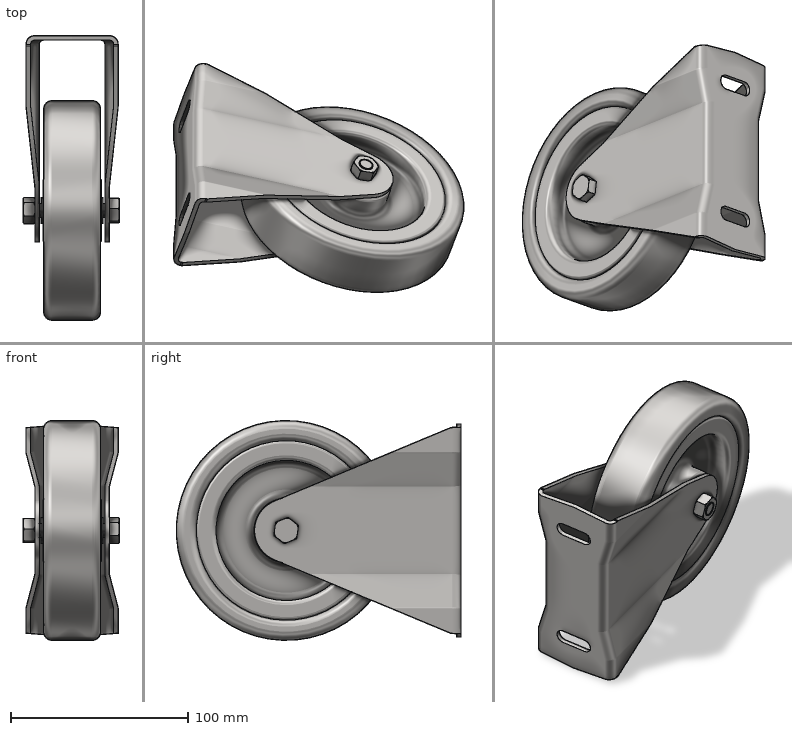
import cadquery as cq
import math


sheet = 2.5
back_y = 98.5
wide_half = 26.0
narrow_half = 21.0
narrow_z = 24.7
wide_z = 43.6
bend_inner = 2.4
bend_outer = bend_inner + sheet
back_peak_z = 60.0
side_z = 57.9
taper_y = back_y - 6.0
lobe_radius = 17.8

slot_length = 22.3
slot_width = 8.3
slot_z = 40.0

wheel_radius = 61.9
tyre_half = 16.0
tread_round = 4.8
tyre_bore_round = 3.8
rim_radius = 50.5

flange_half = 14.9
flange_outer = 48.9
flange_inner = 42.2
rim_wall = 39.5
web_outer = 35.1
web_inner = 23.0
web_half = 3.2
hub_radius = 18.1
hub_half = 16.5
hub_round = 1.6
boss_radius = 7.2
boss_half = 17.5

bolt_radius = 4.0
tip_chamfer = 0.5
hex_across_flats = 13.0
hex_across_corners = hex_across_flats / math.cos(math.pi / 6)
head_height = 5.6
nut_height = 6.5
hex_chamfer = 0.6
head_turn = 22
nut_turn = -6


def fork_profile(inset, top):
    """Waisted XZ outline of the fork, moved inward by a distance and closed at +-top."""
    spread_angle = math.atan2(wide_half - narrow_half, wide_z - narrow_z)
    rise = inset * math.tan(spread_angle / 2)
    wide = wide_half - inset
    upper = [(narrow_half - inset, narrow_z + rise), (wide, wide_z + rise), (wide, top)]
    upper += [(-x, z) for x, z in reversed(upper)]
    lower = [(-x, -z) for x, z in upper]
    return upper + lower


def fork_block(inset, rounded_z, corner_radius):
    """Waisted block with rounded back corners, and side folds rounded at heights of +-rounded_z."""
    back = back_y - inset
    top = wide_half + side_z
    profile = cq.Workplane("XZ", origin=(0, back, 0)).polyline(fork_profile(inset, top)).close()
    block = profile.extrude(back + 2 * lobe_radius)
    reach = 1.6
    upper_folds = cq.selectors.BoxSelector((-top, -top, rounded_z - reach), (top, top, rounded_z + reach))
    lower_folds = cq.selectors.BoxSelector((-top, -top, -rounded_z - reach), (top, top, -rounded_z + reach))
    block = block.edges("|Y").edges(upper_folds + lower_folds).fillet(sheet)
    return block.faces(">Y").edges("not |X").fillet(corner_radius)


def side_outline():
    """Prism that tapers from the back plate to the round lobe at the axle, with the back plate's peaked ends."""
    corner_distance = math.hypot(taper_y, side_z)
    tangent = math.atan2(side_z, taper_y) + math.acos(lobe_radius / corner_distance)
    ty, tz = lobe_radius * math.cos(tangent), lobe_radius * math.sin(tangent)
    sides = (
        cq.Workplane("YZ", origin=(-wide_half, 0, 0))
        .moveTo(back_y, side_z)
        .lineTo(taper_y, side_z)
        .lineTo(ty, tz)
        .threePointArc((-lobe_radius, 0), (ty, -tz))
        .lineTo(taper_y, -side_z)
        .lineTo(back_y, -side_z)
        .close()
        .extrude(2 * wide_half)
    )
    roof = [(0, back_peak_z), (wide_half, side_z), (wide_half, -side_z)]
    roof += [(-x, -z) for x, z in roof]
    back = cq.Workplane("XZ", origin=(0, back_y, 0)).polyline(roof).close().extrude(bend_outer)
    return sides.union(back)


def make_fork():
    """Sheet fork with two mounting slots in its back plate and a bolt hole through its side plates."""
    fork = fork_block(0, wide_z, bend_outer).cut(fork_block(sheet, narrow_z, bend_inner))
    fork = fork.intersect(side_outline())
    slots = (
        cq.Workplane("XZ", origin=(0, back_y, 0))
        .pushPoints([(0, slot_z), (0, -slot_z)])
        .slot2D(slot_length, slot_width)
        .extrude(sheet)
    )
    bolt_hole = cq.Workplane("YZ", origin=(-wide_half, 0, 0)).circle(bolt_radius).extrude(2 * wide_half)
    return fork.cut(slots).cut(bolt_hole)


def make_tyre():
    """Ring around the rim with a rounded tread and rounded edges at its bore."""
    ring = (
        cq.Workplane("YZ", origin=(-tyre_half, 0, 0))
        .circle(wheel_radius)
        .circle(rim_radius)
        .extrude(2 * tyre_half)
    )
    outer_edges = cq.selectors.RadiusNthSelector(-1)
    bore_edges = cq.selectors.RadiusNthSelector(0)
    return ring.edges(bore_edges).fillet(tyre_bore_round).edges(outer_edges).fillet(tread_round)


def rim_face_waste():
    """Ring of waste around the profile of the rim's -X face, revolved about X."""
    hub_fillet = web_inner - hub_radius
    web_fillet = rim_wall - web_outer
    flange_round = flange_inner - rim_wall
    edge_round = rim_radius - flange_outer
    clearance = 1.6
    outside = boss_half + clearance
    return (
        cq.Workplane("XY")
        .moveTo(-outside, boss_radius)
        .lineTo(-hub_half, boss_radius)
        .lineTo(-hub_half, hub_radius - hub_round)
        .radiusArc((-hub_half + hub_round, hub_radius), hub_round)
        .lineTo(-web_half - hub_fillet, hub_radius)
        .radiusArc((-web_half, web_inner), -hub_fillet)
        .lineTo(-web_half, web_outer)
        .radiusArc((-web_half - web_fillet, rim_wall), -web_fillet)
        .lineTo(-flange_half + flange_round, rim_wall)
        .radiusArc((-flange_half, flange_inner), flange_round)
        .lineTo(-flange_half, flange_outer)
        .radiusArc((-flange_half + edge_round, rim_radius), edge_round)
        .lineTo(-flange_half + edge_round, rim_radius + clearance)
        .lineTo(-outside, rim_radius + clearance)
        .close()
        .revolve(360, (0, 0, 0), (1, 0, 0))
    )


def make_rim():
    blank = (
        cq.Workplane("YZ", origin=(-boss_half, 0, 0))
        .circle(rim_radius)
        .circle(bolt_radius)
        .extrude(2 * boss_half)
    )
    waste = rim_face_waste()
    return blank.cut(waste).cut(waste.mirror("YZ"))


def hexagon(height, turn, chamfered_ends):
    """Hexagonal block along X from the origin, its corners cut back by cones at the chosen ends."""
    block = cq.Workplane("YZ").polygon(6, hex_across_corners).extrude(height)
    envelope = cq.Workplane("YZ").circle(hex_across_corners / 2).extrude(height)
    envelope = envelope.faces(chamfered_ends).chamfer(hex_chamfer)
    return block.intersect(envelope).rotate((0, 0, 0), (1, 0, 0), turn)


def make_bolt():
    head = hexagon(head_height, head_turn, ">X").translate((narrow_half, 0, 0))
    shank = (
        cq.Workplane("YZ", origin=(narrow_half, 0, 0))
        .circle(bolt_radius)
        .extrude(-2 * narrow_half - nut_height)
        .faces("<X")
        .chamfer(tip_chamfer)
    )
    return head.union(shank)


def make_nut():
    nut = hexagon(nut_height, nut_turn, "|X")
    bore = cq.Workplane("YZ").circle(bolt_radius).extrude(nut_height)
    return nut.cut(bore).translate((-narrow_half - nut_height, 0, 0))


fork = make_fork()
tyre = make_tyre()
rim = make_rim()
bolt = make_bolt()
nut = make_nut()

result = cq.Compound.makeCompound([fork.val(), tyre.val(), rim.val(), bolt.val(), nut.val()])